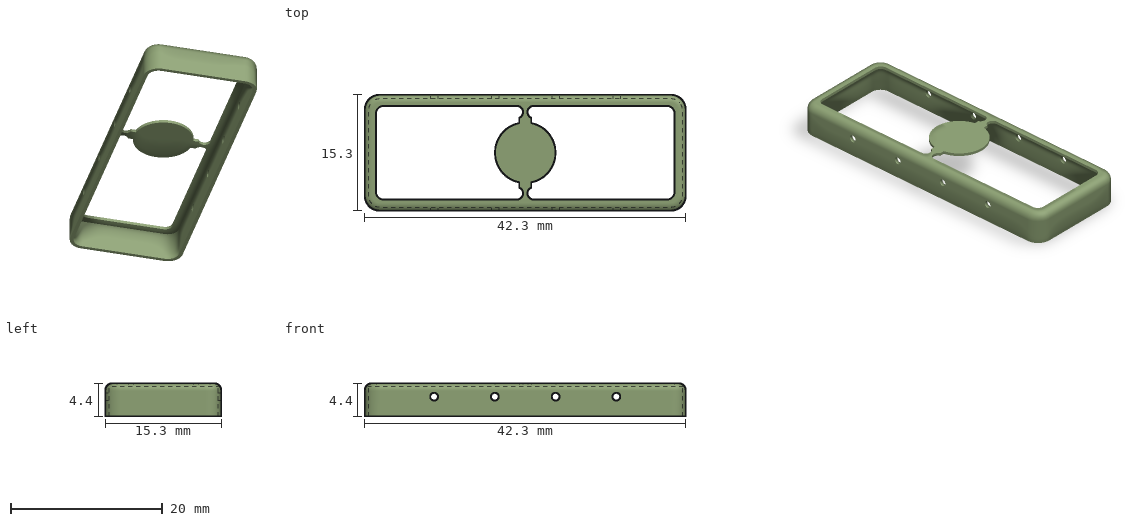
import cadquery as cq

LENGTH = 42.3
WIDTH = 15.3
HEIGHT = 4.4
CORNER_RADIUS = 2.0
TOP_FILLET = 1.0
WALL = 0.5

LID_THICKNESS = 0.4
RIM = 1.5
WINDOW_CORNER_RADIUS = 1.0
WINDOW_LENGTH = LENGTH - 2 * RIM
WINDOW_WIDTH = WIDTH - 2 * RIM
LID_BOTTOM = HEIGHT - LID_THICKNESS

DISC_DIAMETER = 8.0
TAB_WIDTH = 1.6
NECK_WIDTH = 0.6
NECK_RADIUS = 0.8

HOLE_DIAMETER = 1.0
HOLE_PITCH = 8.0
HOLE_COUNT = 4
HOLE_DEPTH_FROM_TOP = 1.8


def rounded_block(length, width, height, radius, base_z=0.0):
    """Block centred on the Z axis with rounded vertical edges."""
    block = cq.Workplane("XY").workplane(offset=base_z).rect(length, width).extrude(height)
    return block.edges("|Z").fillet(radius)


def lid_cylinder(x, y, radius):
    """Upright cylinder spanning the thickness of the lid."""
    return cq.Workplane("XY").workplane(offset=LID_BOTTOM).center(x, y).circle(radius).extrude(LID_THICKNESS)


def make_frame():
    """Rounded shell, hollow from below, with a window through its lid."""
    outer = rounded_block(LENGTH, WIDTH, HEIGHT, CORNER_RADIUS).faces(">Z").edges().fillet(TOP_FILLET)
    cavity = rounded_block(LENGTH - 2 * WALL, WIDTH - 2 * WALL, LID_BOTTOM, CORNER_RADIUS - WALL)
    window = rounded_block(WINDOW_LENGTH, WINDOW_WIDTH, LID_THICKNESS, WINDOW_CORNER_RADIUS, LID_BOTTOM)
    return outer.cut(cavity).cut(window)


def make_bridge():
    """Disc and tabs that cross the window; round bites narrow each tab where it meets the rim."""
    half_window = WINDOW_WIDTH / 2
    bite_x = NECK_WIDTH / 2 + NECK_RADIUS
    bite_y = half_window - NECK_RADIUS

    tabs = cq.Workplane("XY").workplane(offset=LID_BOTTOM).rect(TAB_WIDTH, WINDOW_WIDTH).extrude(LID_THICKNESS)
    roots = (
        cq.Workplane("XY")
        .workplane(offset=LID_BOTTOM)
        .pushPoints([(0, side * (half_window - NECK_RADIUS / 2)) for side in (-1, 1)])
        .rect(2 * bite_x, NECK_RADIUS)
        .extrude(LID_THICKNESS)
    )
    bridge = tabs.union(roots)
    for x in (-bite_x, bite_x):
        for y in (-bite_y, bite_y):
            bridge = bridge.cut(lid_cylinder(x, y, NECK_RADIUS))
    return bridge.union(lid_cylinder(0, 0, DISC_DIAMETER / 2))


def make_cross_holes():
    """Row of pins along Y that pierce both long walls."""
    row_start = -HOLE_PITCH * (HOLE_COUNT - 1) / 2
    hole_z = HEIGHT - HOLE_DEPTH_FROM_TOP
    return (
        cq.Workplane("XZ")
        .pushPoints([(row_start + i * HOLE_PITCH, hole_z) for i in range(HOLE_COUNT)])
        .circle(HOLE_DIAMETER / 2)
        .extrude(WIDTH / 2, both=True)
    )


result = make_frame().union(make_bridge()).cut(make_cross_holes())